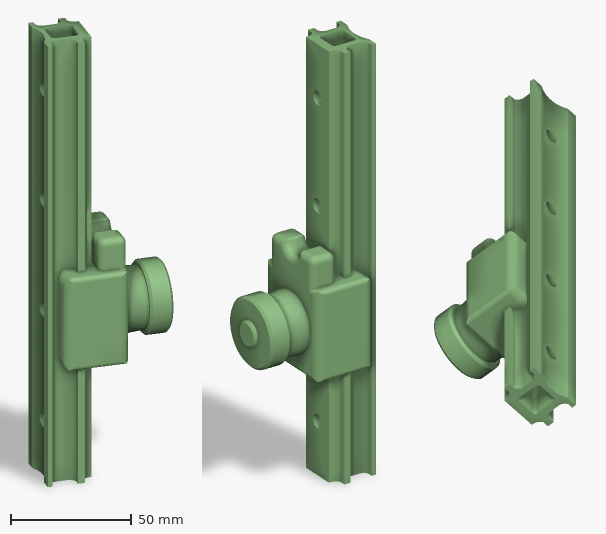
import cadquery as cq
import math

rail_length = 200.0
rail_depth = 20.5
web_half_width = 8.5
flange_half_width = 13.1
flange_back = 2.1
hollow_half_width = 8.1
hollow_depth = 2.1
wing_half_width = 13.5
wing_front = 13.1
wing_back = 16.1
root_radius = 4.0
root_rise = 3.5
root_half_width = web_half_width + root_radius - math.sqrt(root_radius**2 - root_rise**2)
cavity_half_width = 5.6
cavity_front = 4.2
cavity_back = 16.3
cavity_fillet = 1.8
hole_diameter = 6.5
hole_count = 4
hole_pitch = rail_length / hole_count

clamp_width = 39.8
clamp_height = 42.0
clamp_front = 5.5
clamp_back = 34.0
clamp_center_z = 1.5 * hole_pitch
rail_clearance = 0.35
select_margin = 0.1
clamp_fillet = 4.2
clamp_side_fillet = 2.0
leg_inner_fillet = 3.5
fork_width = 31.8
fork_front = 21.8
fork_rise = 14.0
fork_fillet = 3.0
notch_radius = 6.0
notch_depth = 5.0
notch_corner_fillet = 1.3

pin_diameter = 6.0
pin_tip = 14.6
pin_chamfer = 0.5
neck_root = (fork_front + clamp_back) / 2
neck_diameter = 28.8
neck_end_diameter = 27.4
collar_end = 35.1
knob_diameter = 32.0
knob_front = 44.2
knob_back = 54.4
knob_chamfer = 1.1
button_diameter = 12.0
button_back = 56.2
button_chamfer = 0.9

clamp_bottom = clamp_center_z - clamp_height / 2
clamp_top = clamp_center_z + clamp_height / 2
fork_top = clamp_top + fork_rise
notch_center_z = fork_top - notch_depth + notch_radius


def cylinder_along_y(diameter, start, end, center_z):
    return (
        cq.Workplane("XZ", origin=(0, start, center_z))
        .circle(diameter / 2)
        .extrude(start - end)
    )


def box(width, front, back, bottom, top):
    center = (0, (front + back) / 2, (bottom + top) / 2)
    return cq.Workplane("XY").box(width, back - front, top - bottom).translate(center)


def rail_outline(clearance=0.0):
    """Section of the rail before it is hollowed, over the full length, grown all round by a clearance."""
    right_half = (
        cq.Workplane("XY")
        .moveTo(0, 0)
        .lineTo(flange_half_width, 0)
        .lineTo(flange_half_width, flange_back)
        .lineTo(root_half_width, flange_back)
        .radiusArc((web_half_width, flange_back + root_rise), root_radius)
        .lineTo(web_half_width, wing_front - root_rise)
        .radiusArc((root_half_width, wing_front), root_radius)
        .lineTo(wing_half_width, wing_front)
        .lineTo(wing_half_width, wing_back)
        .lineTo(root_half_width, wing_back)
        .radiusArc((web_half_width, wing_back + root_rise), root_radius)
        .lineTo(web_half_width, rail_depth)
        .lineTo(0, rail_depth)
    )
    outline = right_half.mirrorY()
    if clearance:
        outline = outline.offset2D(clearance, "intersection")
    return outline.extrude(rail_length)


def make_rail():
    cavity = (
        cq.Workplane("XY")
        .center(0, (cavity_front + cavity_back) / 2)
        .rect(2 * cavity_half_width, cavity_back - cavity_front)
        .extrude(rail_length)
        .edges("|Z")
        .fillet(cavity_fillet)
    )
    hollow = (
        cq.Workplane("XY")
        .moveTo(-hollow_half_width, 0)
        .threePointArc((0, hollow_depth), (hollow_half_width, 0))
        .close()
        .extrude(rail_length)
    )
    rail = rail_outline().cut(cavity).cut(hollow)
    for index in range(hole_count):
        hole_center_z = hole_pitch * (index + 0.5)
        rail = rail.cut(cylinder_along_y(hole_diameter, 0, rail_depth, hole_center_z))
    return rail


def clamp_blank():
    return box(clamp_width, clamp_front, clamp_back, clamp_bottom, clamp_top)


def make_block():
    """Block with its edges rounded, and an open channel that leaves two legs beside the rail."""
    channel_half_width = web_half_width + rail_clearance
    leg_inner_edges = cq.selectors.BoxSelector(
        (-channel_half_width - select_margin, clamp_front - select_margin, clamp_bottom),
        (channel_half_width + select_margin, clamp_front + select_margin, clamp_top),
    )
    upright_rounds = (
        clamp_blank()
        .edges("|Z")
        .fillet(clamp_fillet)
        .cut(box(2 * channel_half_width, clamp_front, rail_depth, clamp_bottom, clamp_top))
        .edges(leg_inner_edges)
        .fillet(leg_inner_fillet)
    )
    side_rounds = clamp_blank().edges("|Y").fillet(clamp_side_fillet)
    end_rounds = (
        clamp_blank()
        .edges("|X and <Y")
        .fillet(clamp_fillet)
        .edges("|X and >Y")
        .fillet(clamp_side_fillet)
    )
    return upright_rounds.intersect(side_rounds).intersect(end_rounds)


def notched_slab():
    """Slab as deep as the fork plate, with a shallow round notch across its top edge."""
    slab = box(2 * fork_width, fork_front, clamp_back, clamp_center_z, fork_top)
    return slab.cut(cylinder_along_y(2 * notch_radius, fork_front, clamp_back, notch_center_z))


def make_fork():
    """Plate with rounded edges and a notch, rounded at its mouths and along its two top corners."""
    plate = (
        box(fork_width, fork_front, clamp_back, clamp_center_z, fork_top)
        .edges("|Z or >Z")
        .fillet(fork_fillet)
    )
    rounded_mouths = notched_slab().edges("%CIRCLE").fillet(fork_fillet)
    notch_corners = cq.selectors.BoxSelector(
        (-notch_radius, fork_front, fork_top - notch_corner_fillet),
        (notch_radius, clamp_back, fork_top + notch_corner_fillet),
    )
    rounded_corners = notched_slab().edges("|Y").edges(notch_corners).fillet(notch_corner_fillet)
    return plate.intersect(rounded_mouths).intersect(rounded_corners)


def make_knob():
    """Neck, knob and button as one turned profile of (radius, Y) points."""
    knob_radius = knob_diameter / 2
    button_radius = button_diameter / 2
    return (
        cq.Workplane("XY")
        .moveTo(0, neck_root)
        .lineTo(neck_diameter / 2, neck_root)
        .lineTo(neck_diameter / 2, collar_end)
        .lineTo(neck_end_diameter / 2, knob_front)
        .lineTo(knob_radius - knob_chamfer, knob_front)
        .lineTo(knob_radius, knob_front + knob_chamfer)
        .lineTo(knob_radius, knob_back - knob_chamfer)
        .lineTo(knob_radius - knob_chamfer, knob_back)
        .lineTo(button_radius, knob_back)
        .lineTo(button_radius, button_back - button_chamfer)
        .lineTo(button_radius - button_chamfer, button_back)
        .lineTo(0, button_back)
        .close()
        .revolve(360, (0, 0, 0), (0, 1, 0))
        .translate((0, 0, clamp_center_z))
    )


def make_clamp():
    clamp = make_block().union(make_fork()).union(make_knob())
    clamp = clamp.cut(rail_outline(rail_clearance))
    pin = cylinder_along_y(pin_diameter, pin_tip, clamp_back, clamp_center_z)
    return clamp.union(pin.faces("<Y").chamfer(pin_chamfer))


rail = make_rail()
clamp = make_clamp()
result = cq.Compound.makeCompound([rail.val(), clamp.val()])